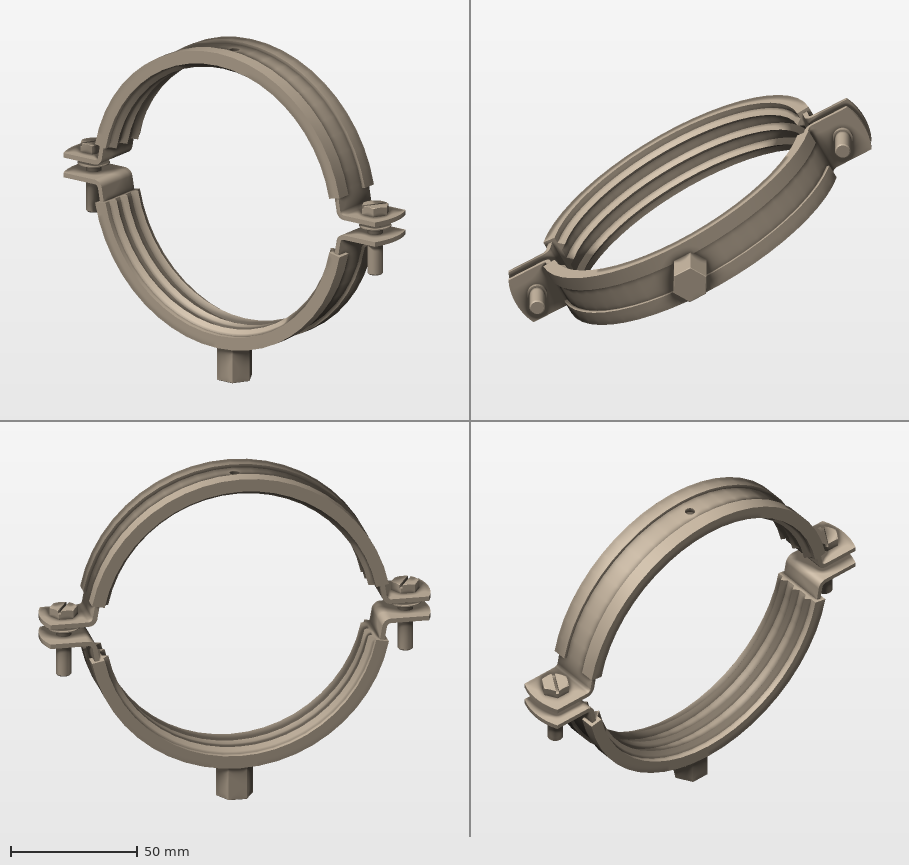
import cadquery as cq
import math


overall_length = 157.8
strap_outer_radius = 60.0
strap_thickness = 1.9
strap_width = 20.5
strap_inner_radius = strap_outer_radius - strap_thickness
ear_gap = 6.3
bend_radius = 1.7
ear_tip_sagitta = 2.2
marker_hole_diameter = 4.0

lining_width = 23.0
lining_outer_radius = 61.4
lining_bore_radius = 56.2
lip_gap = 11.0
lining_end_angle = 11.5
ridge_count = 3
ridge_pitch = 7.3
ridge_height = 2.4
ridge_base = 3.5

screw_x = 69.3
screw_diameter = 6.2
screw_tip_z = -20.2
screw_tip_chamfer = 0.5
head_flats = 10.0
head_height = 3.6
head_chamfer_angle = 20.0
slot_width = 1.3
slot_depth = 1.4
slot_angle = 60.0
washer_diameter = 12.8
washer_thickness = 0.5
collar_diameter = 7.9
collar_height = 1.7

nut_flats = 13.0
nut_bottom_z = -76.7
nut_bottom_chamfer = 0.24

ear_inner_z = ear_gap / 2
ear_outer_z = ear_inner_z + strap_thickness
hex_corner_ratio = 2 / math.sqrt(3)


def polar(radius, degrees):
    """Point in the XZ plane at an angle from +X towards +Z."""
    angle = math.radians(degrees)
    return (radius * math.cos(angle), radius * math.sin(angle))


def mirrored_x(point):
    return (-point[0], point[1])


def vertical_cylinder(diameter, bottom_z, top_z, x=0):
    return cq.Workplane("XY", origin=(x, 0, bottom_z)).circle(diameter / 2).extrude(top_z - bottom_z)


def vertical_hexagon(flats, bottom_z, top_z, x=0):
    """Hexagonal prism with two corners on the X direction."""
    plane = cq.Workplane("XY", origin=(x, 0, bottom_z))
    return plane.polygon(6, flats * hex_corner_ratio).extrude(top_z - bottom_z)


def make_strap_half():
    """Upper strap half: a half ring with a bent-out, drilled ear at each end."""
    bend_z = ear_outer_z + bend_radius
    bend_centre_distance = strap_outer_radius + bend_radius
    bend_angle = math.degrees(math.asin(bend_z / bend_centre_distance))
    bend_x = bend_centre_distance * math.cos(math.radians(bend_angle))
    bend_middle_angle = (180 + bend_angle + 270) / 2

    def on_bend(radius):
        dx, dz = polar(radius, bend_middle_angle)
        return (bend_x + dx, bend_z + dz)

    tip_x = overall_length / 2
    outer_start = polar(strap_outer_radius, bend_angle)
    outer_bend_middle = on_bend(bend_radius)
    outer_bend_end = (bend_x, ear_outer_z)
    inner_start = polar(strap_inner_radius, bend_angle)
    inner_bend_middle = on_bend(bend_radius + strap_thickness)
    inner_bend_end = (bend_x, ear_inner_z)

    side_profile = (
        cq.Workplane("XZ")
        .moveTo(*outer_start)
        .threePointArc((0, strap_outer_radius), mirrored_x(outer_start))
        .threePointArc(mirrored_x(outer_bend_middle), mirrored_x(outer_bend_end))
        .lineTo(-tip_x, ear_outer_z)
        .lineTo(-tip_x, ear_inner_z)
        .lineTo(*mirrored_x(inner_bend_end))
        .threePointArc(mirrored_x(inner_bend_middle), mirrored_x(inner_start))
        .threePointArc((0, strap_inner_radius), inner_start)
        .threePointArc(inner_bend_middle, inner_bend_end)
        .lineTo(tip_x, ear_inner_z)
        .lineTo(tip_x, ear_outer_z)
        .lineTo(*outer_bend_end)
        .threePointArc(outer_bend_middle, outer_start)
        .close()
    )
    strap = side_profile.extrude(strap_width / 2, both=True)

    corner_x = tip_x - ear_tip_sagitta
    half_width = strap_width / 2
    plan = (
        cq.Workplane("XY")
        .moveTo(-corner_x, -half_width)
        .lineTo(corner_x, -half_width)
        .threePointArc((tip_x, 0), (corner_x, half_width))
        .lineTo(-corner_x, half_width)
        .threePointArc((-tip_x, 0), (-corner_x, -half_width))
        .close()
        .extrude(lining_outer_radius)
    )
    strap = strap.intersect(plan)
    for x in (-screw_x, screw_x):
        strap = strap.cut(vertical_cylinder(screw_diameter, 0, ear_outer_z, x))
    return strap


def make_upper_strap():
    """Upper half with a small hole through its crown."""
    return make_strap_half().cut(vertical_cylinder(marker_hole_diameter, 0, lining_outer_radius))


def make_lower_strap():
    """Lower half with a drilled collar under each ear."""
    strap = make_strap_half().mirror("XY")
    collar_bottom_z = -ear_outer_z - collar_height
    for x in (-screw_x, screw_x):
        collar = vertical_cylinder(collar_diameter, collar_bottom_z, -ear_outer_z, x)
        bore = vertical_cylinder(screw_diameter, collar_bottom_z, -ear_outer_z, x)
        strap = strap.union(collar.cut(bore))
    return strap


def make_lining():
    """Upper lining: a ridged channel section swept around the pipe axis, gripping the strap."""
    half_width = lining_width / 2
    half_strap = strap_width / 2
    half_gap = lip_gap / 2
    section = [(lining_bore_radius, -half_width)]
    for i in range(ridge_count):
        ridge_y = (i - (ridge_count - 1) / 2) * ridge_pitch
        section += [
            (lining_bore_radius, ridge_y - ridge_base / 2),
            (lining_bore_radius - ridge_height, ridge_y),
            (lining_bore_radius, ridge_y + ridge_base / 2),
        ]
    section += [
        (lining_bore_radius, half_width),
        (lining_outer_radius, half_width),
        (lining_outer_radius, half_gap),
        (strap_outer_radius, half_gap),
        (strap_outer_radius, half_strap),
        (strap_inner_radius, half_strap),
        (strap_inner_radius, -half_strap),
        (strap_outer_radius, -half_strap),
        (strap_outer_radius, -half_gap),
        (lining_outer_radius, -half_gap),
        (lining_outer_radius, -half_width),
    ]
    sweep_angle = 180 - 2 * lining_end_angle
    lining = cq.Workplane("XY").polyline(section).close().revolve(sweep_angle, (0, 0, 0), (0, -1, 0))
    return lining.rotate((0, 0, 0), (0, -1, 0), lining_end_angle)


def make_nut(strap_lining):
    """Hexagonal nut seated on the lower strap between the lining lips, which rest on its shoulders."""
    strap_round = cq.Workplane("XZ").circle(strap_outer_radius).extrude(lining_width / 2, both=True)
    nut = vertical_hexagon(nut_flats, nut_bottom_z, -strap_inner_radius)
    nut = nut.faces("<Z").chamfer(nut_bottom_chamfer)
    return nut.cut(strap_round).cut(strap_lining)


def make_head_cone(x):
    """Cone over a screw head that chamfers the hexagon corners and touches its flats at the top."""
    slope = math.tan(math.radians(head_chamfer_angle))
    top_radius = head_flats / 2
    base_radius = top_radius + head_height / slope
    cone = cq.Solid.makeCone(base_radius, top_radius, head_height, pnt=cq.Vector(x, 0, ear_outer_z))
    return cq.Workplane(obj=cone)


def make_screw(x):
    """Slotted hexagon-head screw seated on an upper ear."""
    shank = vertical_cylinder(screw_diameter, screw_tip_z, ear_outer_z, x)
    shank = shank.faces("<Z").chamfer(screw_tip_chamfer)
    head_top_z = ear_outer_z + head_height
    head = vertical_hexagon(head_flats, ear_outer_z, head_top_z, x)
    head = head.intersect(make_head_cone(x))
    slot_length = 2 * head_flats
    slot = (
        cq.Workplane("XY", origin=(x, 0, head_top_z))
        .transformed(rotate=(0, 0, slot_angle))
        .rect(slot_length, slot_width)
        .extrude(-slot_depth)
    )
    return shank.union(head).cut(slot)


def make_washer(x):
    """Thin retaining washer on the screw shank, midway between the ears."""
    half_thickness = washer_thickness / 2
    disc = vertical_cylinder(washer_diameter, -half_thickness, half_thickness, x)
    return disc.cut(vertical_cylinder(screw_diameter, -half_thickness, half_thickness, x))


upper_strap = make_upper_strap()
lower_strap = make_lower_strap()
upper_lining = make_lining()
lower_lining = make_lining().mirror("XY")
nut = make_nut(lower_lining)

screws = []
washers = []
for x in (-screw_x, screw_x):
    screws.append(make_screw(x).val())
    washers.append(make_washer(x).val())

result = cq.Compound.makeCompound(
    [
        upper_strap.val(),
        lower_strap.val(),
        upper_lining.val(),
        lower_lining.val(),
        nut.val(),
        *screws,
        *washers,
    ]
)